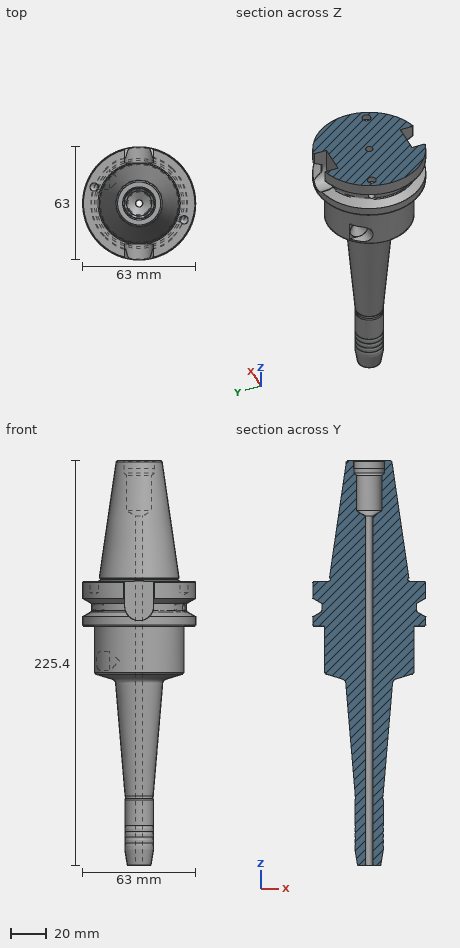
import cadquery as cq
import math


overall_length = 225.4

taper_length = 65.4
gauge_diameter = 44.45
gauge_radius = gauge_diameter / 2
taper_slope = 7 / 48
taper_top_radius = gauge_radius - taper_slope * taper_length
taper_chamfer_width = 0.7
taper_chamfer_height = 0.9

relief_radius = 21.6
relief_foot_radius = 22.9
relief_foot_height = 0.8
relief_entry_height = 0.5

flange_radius = 31.5
flange_top_z = -2.0
flange_bottom_z = -27.0
flange_top_chamfer = 0.5
flange_bottom_chamfer_width = 0.6
flange_bottom_chamfer_height = 0.9
groove_radius = 26.5
groove_top_z = -11.4
groove_bottom_z = -21.6
groove_flank_angle = math.radians(30)
groove_flank_height = (flange_radius - groove_radius) * math.tan(groove_flank_angle)
groove_foot_fillet = 0.8

slot_width = 16.1
slot_floor_offset = 22.5
slot_bottom_z = -23.8
slot_edge_chamfer = 0.75

body_radius = 25.0
body_edge_z = -52.6
body_edge_chamfer = 1.0
body_cone_end_z = -56.4
body_cone_end_radius = 14.9
neck_fillet_drop = 2.7

neck_top_radius = 13.1
neck_bottom_radius = 7.85
neck_bottom_z = -121.2
nose_radius = 8.0
nose_start_z = -123.6
nose_groove_radius = 7.7
nose_groove_flare_z = -122.7
nose_taper_z = -151.3
nose_end_z = taper_length - overall_length
nose_end_radius = 6.6
nose_end_chamfer = 0.3

ring_count = 4
ring_first_top_z = -137.8
ring_pitch = 3.2
ring_flat_width = 1.0
ring_flare_width = 0.6
ring_depth = 0.15

bore_mouth_radius = 9.2
bore_radius = 8.5
bore_step_radius = 8.35
thread_radius = 7.0
bore_mouth_depth = 0.7
bore_depth = 4.6
bore_step_depth = 7.1
thread_depth = 28.0
thread_lead_in_height = bore_step_radius - thread_radius
coolant_radius = 1.9
drill_point_half_angle = math.radians(59)

flange_hole_radius = 26.6
flange_hole_angle = 160.0
flange_hole_diameter = 4.6
flange_hole_depth = 6.0
groove_hole_diameter = 3.8
groove_hole_depth = 5.0
groove_hole_z = -16.5

screw_y = 13.2
screw_z = -46.2
screw_diameter = 10.7
screw_floor_x = -16.4
screw_point_depth = screw_diameter / 2


def revolve_about_z(outline):
    """Full turn of an outline drawn in the XZ plane."""
    return outline.revolve(360, (0, 0, 0), (0, 1, 0))


def make_blank():
    """Outside shape from the taper end down to the nose."""
    groove_foot_z = groove_bottom_z + groove_flank_height
    foot_tangent = groove_foot_fillet * math.tan(groove_flank_angle)
    foot_end_radius = groove_radius + foot_tangent * math.cos(groove_flank_angle)
    foot_end_z = groove_foot_z - foot_tangent * math.sin(groove_flank_angle)
    neck_start_z = body_cone_end_z - neck_fillet_drop
    blank = (
        cq.Workplane("XZ")
        .moveTo(0, taper_length)
        .lineTo(taper_top_radius - taper_chamfer_width, taper_length)
        .lineTo(taper_top_radius + taper_slope * taper_chamfer_height, taper_length - taper_chamfer_height)
        .lineTo(gauge_radius, 0)
        .lineTo(relief_radius, -relief_entry_height)
        .lineTo(relief_radius, flange_top_z + relief_foot_height)
        .lineTo(relief_foot_radius, flange_top_z)
        .lineTo(flange_radius - flange_top_chamfer, flange_top_z)
        .lineTo(flange_radius, flange_top_z - flange_top_chamfer)
        .lineTo(flange_radius, groove_top_z)
        .lineTo(groove_radius, groove_top_z - groove_flank_height)
        .lineTo(groove_radius, groove_foot_z + foot_tangent)
        .tangentArcPoint((foot_end_radius, foot_end_z), relative=False)
        .lineTo(flange_radius, groove_bottom_z)
        .lineTo(flange_radius, flange_bottom_z + flange_bottom_chamfer_height)
        .lineTo(flange_radius - flange_bottom_chamfer_width, flange_bottom_z)
        .lineTo(body_radius, flange_bottom_z)
        .lineTo(body_radius, body_edge_z)
        .lineTo(body_radius - body_edge_chamfer, body_edge_z - body_edge_chamfer)
        .lineTo(body_cone_end_radius, body_cone_end_z)
        .tangentArcPoint((neck_top_radius, neck_start_z), relative=False)
        .lineTo(neck_bottom_radius, neck_bottom_z)
        .lineTo(nose_groove_radius, neck_bottom_z)
        .lineTo(nose_groove_radius, nose_groove_flare_z)
        .lineTo(nose_radius, nose_start_z)
        .lineTo(nose_radius, nose_taper_z)
        .lineTo(nose_end_radius, nose_end_z + nose_end_chamfer)
        .lineTo(nose_end_radius - nose_end_chamfer, nose_end_z)
        .lineTo(0, nose_end_z)
        .close()
    )
    return revolve_about_z(blank)


def make_bore():
    """Pull-stud socket at the taper end with a coolant hole on through the nose."""
    thread_end_z = taper_length - thread_depth
    drill_point_height = (thread_radius - coolant_radius) / math.tan(drill_point_half_angle)
    outline = (
        cq.Workplane("XZ")
        .moveTo(0, taper_length)
        .lineTo(bore_mouth_radius, taper_length)
        .lineTo(bore_radius, taper_length - bore_mouth_depth)
        .lineTo(bore_radius, taper_length - bore_depth)
        .lineTo(bore_step_radius, taper_length - bore_depth)
        .lineTo(bore_step_radius, taper_length - bore_step_depth)
        .lineTo(thread_radius, taper_length - bore_step_depth - thread_lead_in_height)
        .lineTo(thread_radius, thread_end_z)
        .lineTo(coolant_radius, thread_end_z - drill_point_height)
        .lineTo(coolant_radius, nose_end_z)
        .lineTo(0, nose_end_z)
        .close()
    )
    return revolve_about_z(outline)


def make_nose_ring(top_z):
    """Shallow ring groove with a square upper shoulder and a sloped lower one."""
    floor_radius = nose_radius - ring_depth
    flare_z = top_z - ring_flat_width
    outline = (
        cq.Workplane("XZ")
        .moveTo(nose_radius, top_z)
        .lineTo(floor_radius, top_z)
        .lineTo(floor_radius, flare_z)
        .lineTo(nose_radius, flare_z - ring_flare_width)
        .close()
    )
    return revolve_about_z(outline)


def make_drive_slot():
    """Round-ended slot on the -Y side, its outer upright edges broken by chamfers."""
    half_width = slot_width / 2
    arc_center_z = slot_bottom_z + half_width
    depth = flange_radius - slot_floor_offset
    slot = (
        cq.Workplane("XZ", origin=(0, -slot_floor_offset, 0))
        .moveTo(-half_width, 0)
        .lineTo(-half_width, arc_center_z)
        .threePointArc((0, slot_bottom_z), (half_width, arc_center_z))
        .lineTo(half_width, 0)
        .close()
        .extrude(depth)
    )
    edge_y = -math.sqrt(flange_radius**2 - half_width**2)
    chamfer_bottom_z = groove_top_z - groove_flank_height
    flare = (
        cq.Workplane("XY", origin=(0, 0, chamfer_bottom_z))
        .moveTo(-half_width, edge_y + slot_edge_chamfer)
        .lineTo(half_width, edge_y + slot_edge_chamfer)
        .lineTo(half_width + 2 * slot_edge_chamfer, edge_y - slot_edge_chamfer)
        .lineTo(-half_width - 2 * slot_edge_chamfer, edge_y - slot_edge_chamfer)
        .close()
        .extrude(-chamfer_bottom_z)
    )
    return slot.union(flare)


def make_flange_holes():
    """One upright hole in the flange top and one radial hole in the groove floor, on the +X axis."""
    top_hole = (
        cq.Workplane("XY", origin=(flange_hole_radius, 0, flange_top_z))
        .circle(flange_hole_diameter / 2)
        .extrude(-flange_hole_depth)
    )
    point_radius = flange_hole_diameter / 2
    top_hole_point = cq.Solid.makeCone(
        point_radius,
        0,
        point_radius / math.tan(drill_point_half_angle),
        pnt=cq.Vector(flange_hole_radius, 0, flange_top_z - flange_hole_depth),
        dir=cq.Vector(0, 0, -1),
    )
    groove_hole = (
        cq.Workplane("YZ", origin=(groove_radius - groove_hole_depth, 0, groove_hole_z))
        .circle(groove_hole_diameter / 2)
        .extrude(2 * groove_hole_depth)
    )
    return top_hole.union(cq.Workplane(top_hole_point)).union(groove_hole)


def make_screw_recess():
    """Round-ended flat that runs out towards +Y, with a drill point in its floor."""
    radius = screw_diameter / 2
    depth = body_radius + screw_floor_x
    floor = cq.Workplane("YZ", origin=(screw_floor_x, 0, 0))
    pocket = floor.center(screw_y, screw_z).circle(radius).extrude(-depth)
    run_out = (
        floor.center(screw_y + radius, screw_z).rect(2 * radius, screw_diameter).extrude(-depth)
    )
    point = cq.Solid.makeCone(
        radius, 0, screw_point_depth, pnt=cq.Vector(screw_floor_x, screw_y, screw_z), dir=cq.Vector(1, 0, 0)
    )
    return pocket.union(run_out).union(cq.Workplane(point))


axis_start = (0, 0, 0)
axis_end = (0, 0, 1)

result = make_blank().cut(make_bore())

for index in range(ring_count):
    result = result.cut(make_nose_ring(ring_first_top_z - index * ring_pitch))

for half_turn in (0, 180):
    result = result.cut(make_drive_slot().rotate(axis_start, axis_end, half_turn))
    result = result.cut(make_flange_holes().rotate(axis_start, axis_end, flange_hole_angle + half_turn))

result = result.cut(make_screw_recess())